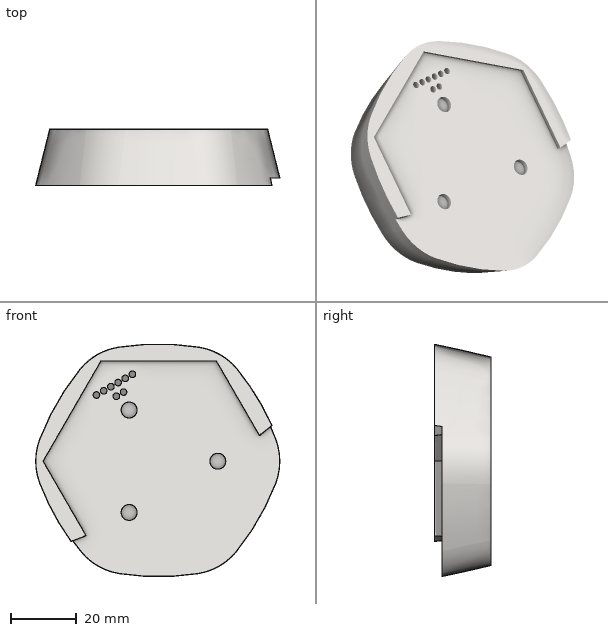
import cadquery as cq
import math

depth = 17.3
front_apothem = 35.7
front_side_radius = 78.15
back_scale = 0.89
corner_radius = 18.8
sides = 6
side_angle = 360 / sides

lip_height = 2.3
lip_hexagon_radius = 35.2
lip_end_length = 26.2
lip_end_skew = 9.3
lip_undercut = 0.5
lip_axis_angle = 120.0

mount_diameter = 4.85
mount_depth = 2.0
mount_circle_radius = 18.0
mount_count = 3

small_diameter = 2.0
small_depth = 3.0
small_pitch = 2.5
small_rows = [(26.95, 6), (23.6, 2)]


def polar(radius, angle):
    """Point at a radius and an angle in degrees, counter-clockwise from +X."""
    return (radius * math.cos(math.radians(angle)), radius * math.sin(math.radians(angle)))


def shifted(point, distance, angle):
    """Point moved by a distance along an angle."""
    dx, dz = polar(distance, angle)
    return (point[0] + dx, point[1] + dz)


def front_plane(y):
    """XZ workplane at the given Y, with its normal toward -Y."""
    return cq.Workplane("XZ", origin=(0, y, 0))


def body_outline(y, apothem, side_radius):
    """Closed outline of bowed sides joined by tangent corner arcs."""
    half = math.radians(side_angle / 2)
    bow_offset = side_radius - apothem
    centre_gap = side_radius - corner_radius
    corner_distance = (math.sqrt(centre_gap ** 2 - (bow_offset * math.sin(half)) ** 2)
                       - bow_offset * math.cos(half))
    sweep = math.degrees(math.asin(corner_distance * math.sin(half) / centre_gap))

    def side_point(middle, turn):
        return shifted(polar(-bow_offset, middle), side_radius, middle + turn)

    outline = front_plane(y).moveTo(*side_point(side_angle / 2, -sweep))
    for index in range(sides):
        middle = (index + 0.5) * side_angle
        corner = middle + side_angle / 2
        outline = outline.threePointArc(side_point(middle, 0), side_point(middle, sweep))
        outline = outline.threePointArc(
            polar(corner_distance + corner_radius, corner),
            side_point(middle + side_angle, -sweep),
        )
    return outline.close().val()


def tapered_body():
    front = body_outline(0, front_apothem, front_side_radius)
    back = body_outline(depth, front_apothem * back_scale, front_side_radius * back_scale)
    return cq.Workplane(cq.Solid.makeLoft([front, back], True))


def recess_outline(y, undercut):
    """Region inside and beside the lip, with the lip's inner wall moved outward by the undercut."""
    reach = 2 * front_apothem
    far_side = lip_axis_angle + 180
    vertex_radius = lip_hexagon_radius + undercut / math.cos(math.radians(side_angle / 2))
    middle = polar(vertex_radius, lip_axis_angle)

    def lip_end(direction):
        """Hexagon vertex, inner end and outer end of the lip, on one side of its axis."""
        vertex_angle = lip_axis_angle + direction * side_angle
        side_direction = lip_axis_angle + direction * 3 * side_angle
        end_face_angle = lip_axis_angle + direction * (1.5 * side_angle - lip_end_skew)
        face_end = shifted(polar(lip_hexagon_radius, vertex_angle), lip_end_length, side_direction)
        along_end_face = undercut / math.cos(math.radians(lip_end_skew))
        inner_end = shifted(face_end, along_end_face, end_face_angle)
        outer_end = shifted(face_end, reach, end_face_angle)
        return polar(vertex_radius, vertex_angle), inner_end, outer_end

    first, first_inner, first_outer = lip_end(-1)
    last, last_inner, last_outer = lip_end(1)
    points = [
        first_outer, first_inner, first, middle, last, last_inner, last_outer,
        shifted(last_outer, 2 * reach, far_side), shifted(first_outer, 2 * reach, far_side),
    ]
    return front_plane(y).polyline(points).close().val()


def face_recess():
    face = recess_outline(0, 0)
    floor = recess_outline(lip_height, lip_undercut)
    return cq.Workplane(cq.Solid.makeLoft([face, floor], True))


def mounting_holes():
    centres = [polar(mount_circle_radius, 360 / mount_count * i) for i in range(mount_count)]
    floor = front_plane(lip_height + mount_depth)
    return floor.pushPoints(centres).circle(mount_diameter / 2).extrude(mount_depth)


def small_holes():
    centres = []
    for distance, count in small_rows:
        row_middle = polar(distance, lip_axis_angle)
        for i in range(count):
            along = (i - (count - 1) / 2) * small_pitch
            centres.append(shifted(row_middle, along, lip_axis_angle - 90))
    floor = front_plane(lip_height + small_depth)
    return floor.pushPoints(centres).circle(small_diameter / 2).extrude(small_depth)


result = tapered_body().cut(face_recess()).cut(mounting_holes()).cut(small_holes())